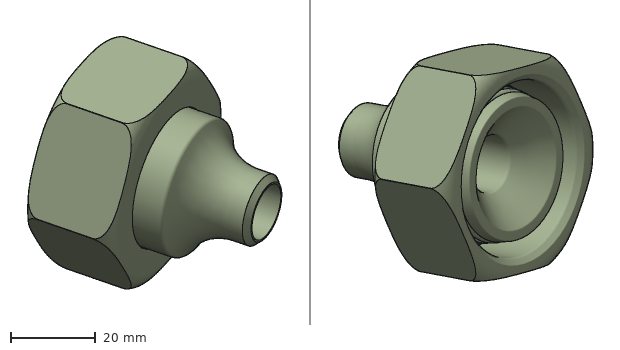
import cadquery as cq
import math


TOTAL_LENGTH = 50.5

NUT_LENGTH = 24.0
ACROSS_FLATS = 50.0
TURNED_DIA = 57.7
CORNER_ROUND = 4.55
THREAD_BORE_DIA = 42.8
MOUTH_DIA = 45.9
MOUTH_EDGE_ROUND = 0.3
THREAD_START_ROUND = 1.0
COLLAR_BORE_DIA = 35.35
SEAT_GAP = 0.2

NIPPLE_FRONT_X = 2.0
CONE_HALF_ANGLE = 12.0
CONE_FRONT_RADIUS = 17.35
RIM_DIA = 40.8
COLLAR_DIA = 34.9
CONE_EDGE_ROUND = 0.3
COLLAR_EDGE_ROUND = 1.0
NECK_RADIUS = 14.0
STUB_DIA = 18.0
STUB_START_X = 44.9
STUB_CHAMFER = 1.5
BORE_DIA = 14.0
FUNNEL_MOUTH_DIA = 29.95
FUNNEL_HALF_ANGLE = 45.0
FUNNEL_MOUTH_ROUND = 0.5
FUNNEL_END_ROUND = 1.0

GROOVE_FRONT_RADIUS = 18.0
GROOVE_REAR_RADIUS = 18.75
RING_SECTION = 2.5
RING_OUTER_RADIUS = 18.45

RIM_RADIUS = RIM_DIA / 2
COLLAR_RADIUS = COLLAR_DIA / 2
STUB_RADIUS = STUB_DIA / 2
BORE_RADIUS = BORE_DIA / 2
FUNNEL_MOUTH_RADIUS = FUNNEL_MOUTH_DIA / 2
THREAD_BORE_RADIUS = THREAD_BORE_DIA / 2
COLLAR_BORE_RADIUS = COLLAR_BORE_DIA / 2
MOUTH_RADIUS = MOUTH_DIA / 2
GROOVE_FLOOR_RADIUS = RING_OUTER_RADIUS - RING_SECTION


def cone_x(radius):
    """X position where the sealing cone reaches the given radius."""
    return NIPPLE_FRONT_X + (radius - CONE_FRONT_RADIUS) / math.tan(math.radians(CONE_HALF_ANGLE))


RIM_X = cone_x(RIM_RADIUS)
GROOVE_FRONT_X = cone_x(GROOVE_FRONT_RADIUS)
GROOVE_REAR_X = cone_x(GROOVE_REAR_RADIUS)


def turned(profile):
    """Revolve a closed profile drawn as (x, radius) about the X axis."""
    return profile.close().revolve(360, (0, 0, 0), (1, 0, 0))


def round_circle(body, x, radius, size):
    """Round the circular edge of the given radius that lies at x."""
    tolerance = 0.005

    def is_wanted(edge):
        return (
            edge.geomType() == "CIRCLE"
            and abs(edge.radius() - radius) < tolerance
            and abs(edge.arcCenter().x - x) < tolerance
        )

    return body.edges().filter(is_wanted).fillet(size)


def make_nut():
    corner_distance = ACROSS_FLATS / math.cos(math.radians(30))
    hexagon = cq.Workplane("YZ").polygon(6, corner_distance).extrude(NUT_LENGTH)
    envelope = cq.Workplane("YZ").circle(TURNED_DIA / 2).extrude(NUT_LENGTH)
    blank = hexagon.intersect(envelope.edges("%CIRCLE").fillet(CORNER_ROUND))

    mouth_depth = MOUTH_RADIUS - THREAD_BORE_RADIUS
    seat_radius = RIM_RADIUS + SEAT_GAP
    seat_x = RIM_X - SEAT_GAP
    seat_end_x = seat_x + seat_radius - COLLAR_BORE_RADIUS
    bore = turned(
        cq.Workplane("XY")
        .moveTo(0, 0)
        .lineTo(0, MOUTH_RADIUS)
        .lineTo(mouth_depth, THREAD_BORE_RADIUS)
        .lineTo(seat_x, THREAD_BORE_RADIUS)
        .lineTo(seat_x, seat_radius)
        .lineTo(seat_end_x, COLLAR_BORE_RADIUS)
        .lineTo(NUT_LENGTH, COLLAR_BORE_RADIUS)
        .lineTo(NUT_LENGTH, 0)
    )
    nut = blank.cut(bore)
    nut = round_circle(nut, mouth_depth, THREAD_BORE_RADIUS, THREAD_START_ROUND)
    return round_circle(nut, 0, MOUTH_RADIUS, MOUTH_EDGE_ROUND)


def nipple_outside():
    round_centre_radius = COLLAR_RADIUS - COLLAR_EDGE_ROUND
    neck_centre_radius = STUB_RADIUS + NECK_RADIUS
    centre_distance = COLLAR_EDGE_ROUND + NECK_RADIUS
    lean = math.asin((neck_centre_radius - round_centre_radius) / centre_distance)
    round_centre_x = STUB_START_X - centre_distance * math.cos(lean)

    def on_round(angle):
        return (
            round_centre_x + COLLAR_EDGE_ROUND * math.cos(angle),
            round_centre_radius + COLLAR_EDGE_ROUND * math.sin(angle),
        )

    def on_neck(angle):
        return (
            STUB_START_X - NECK_RADIUS * math.cos(angle),
            neck_centre_radius - NECK_RADIUS * math.sin(angle),
        )

    quarter = math.pi / 2
    mid_angle = (lean + quarter) / 2
    seat_end_x = RIM_X + RIM_RADIUS - COLLAR_RADIUS
    return turned(
        cq.Workplane("XY")
        .moveTo(NIPPLE_FRONT_X, 0)
        .lineTo(NIPPLE_FRONT_X, CONE_FRONT_RADIUS)
        .lineTo(RIM_X, RIM_RADIUS)
        .lineTo(seat_end_x, COLLAR_RADIUS)
        .lineTo(*on_round(quarter))
        .threePointArc(on_round(mid_angle), on_round(lean))
        .threePointArc(on_neck(mid_angle), on_neck(quarter))
        .lineTo(TOTAL_LENGTH - STUB_CHAMFER, STUB_RADIUS)
        .lineTo(TOTAL_LENGTH, STUB_RADIUS - STUB_CHAMFER)
        .lineTo(TOTAL_LENGTH, 0)
    )


def make_nipple():
    nipple = round_circle(nipple_outside(), NIPPLE_FRONT_X, CONE_FRONT_RADIUS, CONE_EDGE_ROUND)

    funnel_depth = (FUNNEL_MOUTH_RADIUS - BORE_RADIUS) / math.tan(math.radians(FUNNEL_HALF_ANGLE))
    funnel_end_x = NIPPLE_FRONT_X + funnel_depth
    passage = turned(
        cq.Workplane("XY")
        .moveTo(NIPPLE_FRONT_X, 0)
        .lineTo(NIPPLE_FRONT_X, FUNNEL_MOUTH_RADIUS)
        .lineTo(funnel_end_x, BORE_RADIUS)
        .lineTo(TOTAL_LENGTH, BORE_RADIUS)
        .lineTo(TOTAL_LENGTH, 0)
    )
    nipple = nipple.cut(passage)
    nipple = round_circle(nipple, NIPPLE_FRONT_X, FUNNEL_MOUTH_RADIUS, FUNNEL_MOUTH_ROUND)
    nipple = round_circle(nipple, funnel_end_x, BORE_RADIUS, FUNNEL_END_ROUND)

    groove = (
        cq.Workplane("YZ", origin=(GROOVE_FRONT_X, 0, 0))
        .circle(RIM_RADIUS)
        .circle(GROOVE_FLOOR_RADIUS)
        .extrude(GROOVE_REAR_X - GROOVE_FRONT_X)
    )
    return nipple.cut(groove)


def make_o_ring():
    section_radius = RING_SECTION / 2
    middle_x = (GROOVE_FRONT_X + GROOVE_REAR_X) / 2
    section = cq.Workplane("XY").moveTo(middle_x, RING_OUTER_RADIUS - section_radius).circle(section_radius)
    return section.revolve(360, (0, 0, 0), (1, 0, 0))


nut = make_nut()
nipple = make_nipple()
o_ring = make_o_ring()

result = cq.Compound.makeCompound([nut.val(), nipple.val(), o_ring.val()])